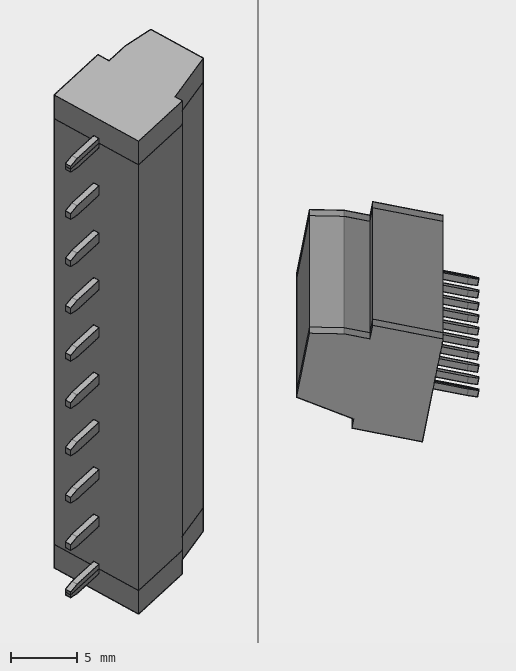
import cadquery as cq

strip_length = 50.8
pin_count = 10
pitch = strip_length / pin_count
end_length = pitch / 2
middle_length = strip_length - 2 * end_length

base_width = 8.1
housing_depth = 10.0
crown_height = 4.55
crown_top_inset = 1.5
left_foot_inset = 1.05
left_slope_height = 2.6
right_foot_inset = 0.7

pin_length = 3.5
pin_thickness = 0.5
pin_width = 1.0
tip_width = 0.6
tip_length = 0.8

half_width = base_width / 2
back_y = pin_length + housing_depth
shoulder_y = back_y - crown_height
first_pin_z = end_length


def housing_segment(z_start, length):
    """A length of the housing section, from z_start upwards."""
    outline = [
        (-half_width, pin_length),
        (half_width, pin_length),
        (half_width, shoulder_y),
        (half_width - right_foot_inset, shoulder_y),
        (half_width - crown_top_inset, back_y),
        (-half_width + crown_top_inset, back_y),
        (-half_width + left_foot_inset, back_y - left_slope_height),
        (-half_width + left_foot_inset, shoulder_y),
        (-half_width, shoulder_y),
    ]
    return cq.Workplane("XY", origin=(0, 0, z_start)).polyline(outline).close().extrude(length)


def pin(z_center):
    """One pin on the front face, with its tip at Y = 0."""
    outline = [
        (pin_length, -pin_width / 2),
        (tip_length, -pin_width / 2),
        (0, -tip_width / 2),
        (0, tip_width / 2),
        (tip_length, pin_width / 2),
        (pin_length, pin_width / 2),
    ]
    return (
        cq.Workplane("YZ", origin=(0, 0, z_center))
        .polyline(outline)
        .close()
        .extrude(pin_thickness / 2, both=True)
    )


def strip_slab(z_start, length):
    """A block that encloses everything between z_start and z_start + length."""
    return cq.Workplane("XY", origin=(0, 0, z_start)).rect(base_width, 2 * back_y).extrude(length)


def strip_segment(z_start, length):
    """A housing segment joined to the pins, or half pins, that lie within its length."""
    slab = strip_slab(z_start, length)
    segment = housing_segment(z_start, length)
    for index in range(pin_count):
        z_center = first_pin_z + index * pitch
        if z_start <= z_center <= z_start + length:
            segment = segment.union(pin(z_center).intersect(slab))
    return segment


lower_end = strip_segment(0, end_length)
middle = strip_segment(end_length, middle_length)
upper_end = strip_segment(end_length + middle_length, end_length)

result = cq.Compound.makeCompound([lower_end.val(), middle.val(), upper_end.val()])